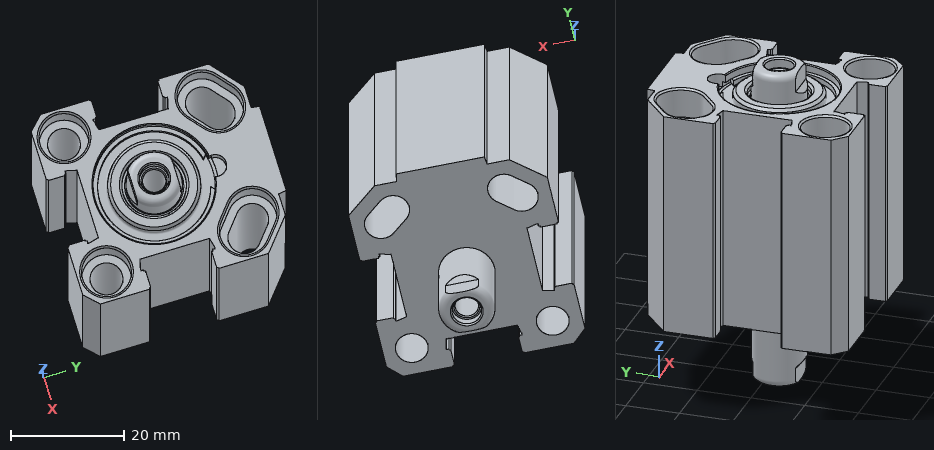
import cadquery as cq
import math

HOUSING_HEIGHT = 42.0
HALF_WIDTH = 18.0
REAR_FACE_Y = 20.5

PAD_FACE_Y = 22.0
PAD_HALF_TOP = 8.0
PAD_HALF_BASE = 8.2

FRONT_BEVEL = 2.5
REAR_BEVEL_X = 5.8
REAR_BEVEL_Y = 4.9

SLOT_DEPTH = 5.7
SLOT_LIP_DEPTH = 3.65
SLOT_HALF_MOUTH = 6.1
SLOT_HALF_UNDERCUT = 6.85
SLOT_HALF_FLOOR = 6.4
SLOT_UNDERCUT_LENGTH = 0.3
SLOT_LIP_FILLET = 0.3

HOLE_OFFSET = 12.75
HOLE_DIAMETER = 5.8
COUNTERBORE_DIAMETER = 8.8
COUNTERBORE_DEPTH = 5.6
COUNTERBORE_CHAMFER = 0.35
OBLONG_TRAVEL = 3.55
OBLONG_ANGLE = 40.0

ROD_DIAMETER = 10.0
ROD_TOP = HOUSING_HEIGHT + 4.5
ROD_BOTTOM = -14.5
ROD_END_FILLET = 1.3
FLAT_WIDTH = 8.0
FLAT_LENGTH = 3.5
ROD_BORE_DIAMETER = 4.13
ROD_SOCKET_DIAMETER = 5.25
ROD_SOCKET_DEPTH = 1.9
ROD_COUNTERSINK_DIAMETER = 4.6
ROD_MOUTH_DIAMETER = 5.8

COLLAR_DIAMETER = 21.6
MOUTH_CHAMFER = 0.2
GROOVE_DIAMETER = 22.8
RING_INNER_DIAMETER = 20.0
RING_THICKNESS = 1.0
NOTCH_RADIUS = 2.0
NOTCH_CENTRE_Y = 11.3
NOTCH_FLOOR_STEP = 0.1

SHOULDER_Z = HOUSING_HEIGHT - 2.5
COLLAR_BOTTOM = HOUSING_HEIGHT - 10.0
BOSS_DIAMETER = 16.5
BOSS_TOP = HOUSING_HEIGHT - 0.5
BOSS_CHAMFER = 0.55
BOSS_BASE_FILLET = 0.4
COLLAR_MOUTH_DIAMETER = 11.4
COLLAR_MOUTH_CHAMFER = 0.45

SEAL_TOP = HOUSING_HEIGHT - 1.7
SEAL_HEIGHT = 3.0
SEAL_LIP_DIAMETER = 10.48

RING_TURN = -2.7
GAP_INNER_HALF_ANGLE = 15.0
GAP_OUTER_HALF_ANGLE = 20.0

RING_TOP = SHOULDER_Z + RING_THICKNESS


def cylinder(diameter, bottom, top):
    """Upright cylinder about the Z axis between two heights."""
    return cq.Workplane("XY").workplane(offset=bottom).circle(diameter / 2).extrude(top - bottom)


def cone(bottom_diameter, top_diameter, bottom, top):
    """Upright truncated cone about the Z axis between two heights."""
    solid = cq.Solid.makeCone(bottom_diameter / 2, top_diameter / 2, top - bottom, cq.Vector(0, 0, bottom))
    return cq.Workplane("XY").add(solid)


def polar(radius, angle):
    """Point at an angle in degrees measured clockwise from the +Y direction."""
    turn = math.radians(angle)
    return (radius * math.sin(turn), radius * math.cos(turn))


def housing_block():
    """Extruded outer profile with bevelled corners and the rear pad."""
    right_side = [
        (HALF_WIDTH - FRONT_BEVEL, -HALF_WIDTH),
        (HALF_WIDTH, FRONT_BEVEL - HALF_WIDTH),
        (HALF_WIDTH, REAR_FACE_Y - REAR_BEVEL_Y),
        (HALF_WIDTH - REAR_BEVEL_X, REAR_FACE_Y),
        (PAD_HALF_BASE, REAR_FACE_Y),
        (PAD_HALF_TOP, PAD_FACE_Y),
    ]
    left_side = [(-x, y) for x, y in reversed(right_side)]
    return cq.Workplane("XY").polyline(right_side + left_side).close().extrude(HOUSING_HEIGHT)


def sensor_slot(turn):
    """Full-height undercut slot of the front face with rounded lips, turned about Z to another face."""
    face = -HALF_WIDTH
    lip_end = face + SLOT_LIP_DEPTH
    undercut_end = lip_end + SLOT_UNDERCUT_LENGTH
    floor = face + SLOT_DEPTH
    flare = SLOT_HALF_MOUTH + SLOT_LIP_FILLET
    slot = (
        cq.Workplane("XY")
        .moveTo(-flare, face)
        .lineTo(flare, face)
        .radiusArc((SLOT_HALF_MOUTH, face + SLOT_LIP_FILLET), -SLOT_LIP_FILLET)
        .lineTo(SLOT_HALF_MOUTH, lip_end - SLOT_LIP_FILLET)
        .radiusArc((flare, lip_end), -SLOT_LIP_FILLET)
        .lineTo(SLOT_HALF_UNDERCUT, lip_end)
        .lineTo(SLOT_HALF_UNDERCUT, undercut_end)
        .lineTo(SLOT_HALF_FLOOR, floor)
        .lineTo(-SLOT_HALF_FLOOR, floor)
        .lineTo(-SLOT_HALF_UNDERCUT, undercut_end)
        .lineTo(-SLOT_HALF_UNDERCUT, lip_end)
        .lineTo(-flare, lip_end)
        .radiusArc((-SLOT_HALF_MOUTH, lip_end - SLOT_LIP_FILLET), -SLOT_LIP_FILLET)
        .lineTo(-SLOT_HALF_MOUTH, face + SLOT_LIP_FILLET)
        .radiusArc((-flare, face), -SLOT_LIP_FILLET)
        .close()
        .extrude(HOUSING_HEIGHT)
    )
    return slot.rotate((0, 0, 0), (0, 0, 1), turn)


def mounting_hole(shape):
    """Through hole with a chamfered counterbore; `shape(plane, diameter)` draws its outline."""
    seat = HOUSING_HEIGHT - COUNTERBORE_DEPTH
    through = shape(cq.Workplane("XY"), HOLE_DIAMETER).extrude(HOUSING_HEIGHT)
    seat_plane = cq.Workplane("XY").workplane(offset=seat)
    counterbore = shape(seat_plane, COUNTERBORE_DIAMETER).extrude(COUNTERBORE_DEPTH)
    mouth_plane = cq.Workplane("XY").workplane(offset=HOUSING_HEIGHT)
    mouth_diameter = COUNTERBORE_DIAMETER + 2 * COUNTERBORE_CHAMFER
    mouth = shape(mouth_plane, mouth_diameter).extrude(-COUNTERBORE_CHAMFER, taper=45)
    return through.union(counterbore).union(mouth)


def round_outline(plane, diameter):
    return plane.circle(diameter / 2)


def oblong_outline(plane, diameter):
    return plane.slot2D(OBLONG_TRAVEL + diameter, diameter)


def front_hole(side):
    return mounting_hole(round_outline).translate((side * HOLE_OFFSET, -HOLE_OFFSET, 0))


def rear_hole(side):
    """Oblong hole running from the hole-pattern corner inwards and to the rear."""
    hole = mounting_hole(oblong_outline).translate((OBLONG_TRAVEL / 2, 0, 0))
    direction = OBLONG_ANGLE if side < 0 else 180 - OBLONG_ANGLE
    hole = hole.rotate((0, 0, 0), (0, 0, 1), direction)
    return hole.translate((side * HOLE_OFFSET, HOLE_OFFSET, 0))


def housing_mouth():
    """Space cut for the collar, the retaining ring, and the notch that exposes the ring gap."""
    bore = cylinder(COLLAR_DIAMETER, COLLAR_BOTTOM, HOUSING_HEIGHT)
    chamfer = cone(
        COLLAR_DIAMETER,
        COLLAR_DIAMETER + 2 * MOUTH_CHAMFER,
        HOUSING_HEIGHT - MOUTH_CHAMFER,
        HOUSING_HEIGHT,
    )
    groove = cylinder(GROOVE_DIAMETER, SHOULDER_Z, RING_TOP)
    notch = cylinder(2 * NOTCH_RADIUS, SHOULDER_Z + NOTCH_FLOOR_STEP, HOUSING_HEIGHT)
    notch = notch.translate((0, NOTCH_CENTRE_Y, 0))
    return bore.union(chamfer).union(groove).union(notch)


def make_housing():
    body = housing_block()
    for turn in (0, 90, -90):
        body = body.cut(sensor_slot(turn))
    for side in (-1, 1):
        body = body.cut(front_hole(side)).cut(rear_hole(side))
    body = body.cut(housing_mouth())
    return body.cut(cylinder(ROD_DIAMETER, 0, HOUSING_HEIGHT))


def wrench_flats():
    """Pair of cutters for the flats on the upper rod end, each ending in a 45 degree shoulder."""
    half_flat = FLAT_WIDTH / 2
    rod_radius = ROD_DIAMETER / 2
    flat_end = ROD_TOP - FLAT_LENGTH
    shoulder_end = flat_end - (rod_radius - half_flat)
    outline = [
        (half_flat, ROD_TOP),
        (half_flat, flat_end),
        (rod_radius, shoulder_end),
        (rod_radius, ROD_TOP),
    ]
    cutter = cq.Workplane("YZ").polyline(outline).close().extrude(rod_radius, both=True)
    return cutter.union(cutter.mirror("XZ"))


def rod_socket():
    """Stepped socket in the upper rod end, its floor countersunk around the rod bore."""
    mouth_depth = (ROD_MOUTH_DIAMETER - ROD_SOCKET_DIAMETER) / 2
    floor = ROD_TOP - ROD_SOCKET_DEPTH
    cone_depth = (ROD_COUNTERSINK_DIAMETER - ROD_BORE_DIAMETER) / 2
    socket = cylinder(ROD_SOCKET_DIAMETER, floor, ROD_TOP)
    mouth = cone(ROD_SOCKET_DIAMETER, ROD_MOUTH_DIAMETER, ROD_TOP - mouth_depth, ROD_TOP)
    lead_in = cone(ROD_BORE_DIAMETER, ROD_COUNTERSINK_DIAMETER, floor - cone_depth, floor)
    return socket.union(mouth).union(lead_in)


def make_rod():
    """Rod with the same flats and socket at both ends."""
    rod = cylinder(ROD_DIAMETER, ROD_BOTTOM, ROD_TOP).edges("%CIRCLE").fillet(ROD_END_FILLET)
    rod = rod.cut(cylinder(ROD_BORE_DIAMETER, ROD_BOTTOM, ROD_TOP))
    middle = (0, 0, (ROD_TOP + ROD_BOTTOM) / 2)
    for end_feature in (wrench_flats(), rod_socket()):
        rod = rod.cut(end_feature).cut(end_feature.mirror("XY", middle))
    return rod


def make_seal():
    """Ring filling the gap between rod and collar, with a bevelled inner lip."""
    bottom = SEAL_TOP - SEAL_HEIGHT
    seal = cylinder(COLLAR_MOUTH_DIAMETER, bottom, SEAL_TOP)
    seal = seal.cut(cylinder(ROD_DIAMETER, bottom, SEAL_TOP))
    lip_depth = (SEAL_LIP_DIAMETER - ROD_DIAMETER) / 2
    return seal.cut(cone(ROD_DIAMETER, SEAL_LIP_DIAMETER, SEAL_TOP - lip_depth, SEAL_TOP))


def make_collar():
    """Rod guide: a disc in the housing bore with a raised boss around the rod, turned from one profile."""
    disc_radius = COLLAR_DIAMETER / 2
    boss_radius = BOSS_DIAMETER / 2
    rod_radius = ROD_DIAMETER / 2
    mouth_radius = COLLAR_MOUTH_DIAMETER / 2
    seal_bottom = SEAL_TOP - SEAL_HEIGHT
    profile = (
        cq.Workplane("XZ")
        .moveTo(rod_radius, COLLAR_BOTTOM)
        .lineTo(disc_radius, COLLAR_BOTTOM)
        .lineTo(disc_radius, SHOULDER_Z)
        .lineTo(boss_radius + BOSS_BASE_FILLET, SHOULDER_Z)
        .radiusArc((boss_radius, SHOULDER_Z + BOSS_BASE_FILLET), BOSS_BASE_FILLET)
        .lineTo(boss_radius, BOSS_TOP - BOSS_CHAMFER)
        .lineTo(boss_radius - BOSS_CHAMFER, BOSS_TOP)
        .lineTo(mouth_radius + COLLAR_MOUTH_CHAMFER, BOSS_TOP)
        .lineTo(mouth_radius, BOSS_TOP - COLLAR_MOUTH_CHAMFER)
        .lineTo(mouth_radius, seal_bottom)
        .lineTo(rod_radius, seal_bottom)
        .close()
    )
    return profile.revolve(360, (0, 0, 0), (0, 1, 0))


def make_retaining_ring():
    """Open ring in the housing groove, its gap facing the rear and its ends cut at a slant."""
    outer = GROOVE_DIAMETER / 2
    inner = RING_INNER_DIAMETER / 2
    ring = (
        cq.Workplane("XY")
        .workplane(offset=SHOULDER_Z)
        .moveTo(*polar(outer, GAP_OUTER_HALF_ANGLE))
        .threePointArc((0, -outer), polar(outer, -GAP_OUTER_HALF_ANGLE))
        .lineTo(*polar(inner, -GAP_INNER_HALF_ANGLE))
        .threePointArc((0, -inner), polar(inner, GAP_INNER_HALF_ANGLE))
        .close()
        .extrude(RING_THICKNESS)
    )
    return ring.rotate((0, 0, 0), (0, 0, 1), RING_TURN)


housing = make_housing()
rod = make_rod()
seal = make_seal()
collar = make_collar()
retaining_ring = make_retaining_ring()

result = cq.Compound.makeCompound(
    [housing.val(), rod.val(), seal.val(), collar.val(), retaining_ring.val()]
)